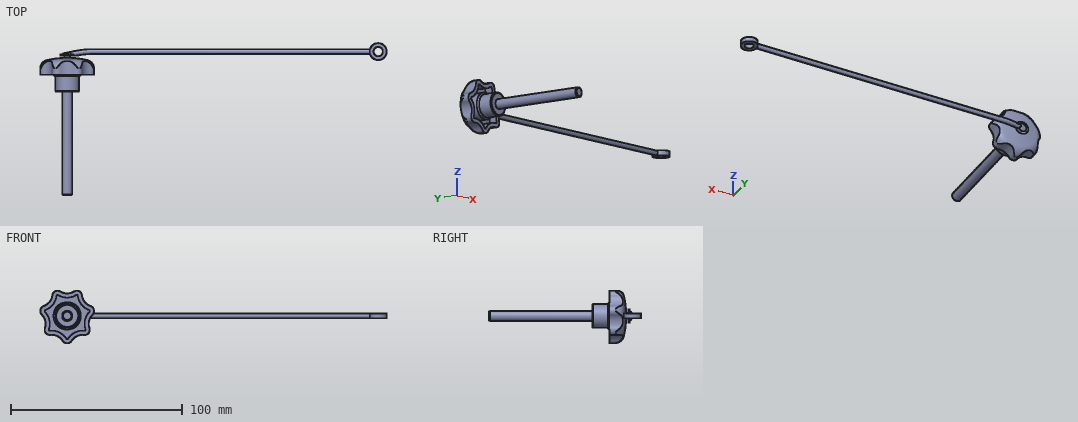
import math

import cadquery as cq

lobe_count = 7
lobe_pitch = 2 * math.pi / lobe_count
knob_radius = 16.0
lobe_tip_radius = 3.1
scallop_radius = 7.5
knob_height = 10.0
crown_radius = 50.0
crown_edge_radius = 6.0

wall_thickness = 2.5
pocket_depth = 5.0

hub_diameter = 14.0
hub_length = 10.0
hub_end_chamfer = 0.6
hub_root_diameter = 16.0
shaft_diameter = 6.0
shaft_length = 60.0
shaft_chamfer = 0.6

stem_diameter = 3.5
washer_diameter = 8.0
washer_thickness = 1.0
washer_edge_radius = 0.4
washer_gap = 1.0
washer_bottom = knob_height + washer_gap

rod_diameter = 3.0
rod_radius = rod_diameter / 2
rod_y = 13.49
bend_start_x = 14.95
bend_radius = 50.0
bend_angle = math.radians(12)
pivot_boss_diameter = 5.5
boss_edge_radius = 1.2
eye_x = 181.0
eye_diameter = 10.0
eye_hole_diameter = 5.3


def axial_cylinder(diameter, y_start, y_end):
    """Cylinder on the Y axis between two Y positions."""
    plane = cq.Workplane("XZ", origin=(0, y_start, 0))
    return plane.circle(diameter / 2).extrude(y_start - y_end)


def lobed_outline():
    """Star outline in the XZ plane: round lobe tips joined by tangent scallops, one lobe toward -Z."""
    tip_centre_radius = knob_radius - lobe_tip_radius
    half_pitch = lobe_pitch / 2
    centre_distance = lobe_tip_radius + scallop_radius
    half_chord = tip_centre_radius * math.sin(half_pitch)
    scallop_centre_radius = (tip_centre_radius * math.cos(half_pitch)
                             + math.sqrt(centre_distance ** 2 - half_chord ** 2))
    valley_radius = scallop_centre_radius - scallop_radius
    tangent_share = lobe_tip_radius / centre_distance

    def polar(radius, angle):
        return (radius * math.cos(angle), radius * math.sin(angle))

    def tangent_point(tip_angle, side):
        tip = polar(tip_centre_radius, tip_angle)
        scallop = polar(scallop_centre_radius, tip_angle + side * half_pitch)
        return tuple(t + tangent_share * (s - t) for t, s in zip(tip, scallop))

    first_tip = -math.pi / 2
    outline = cq.Workplane("XZ").moveTo(*tangent_point(first_tip, -1))
    for lobe in range(lobe_count):
        tip_angle = first_tip + lobe * lobe_pitch
        next_tip = tip_angle + lobe_pitch
        outline = outline.threePointArc(polar(knob_radius, tip_angle), tangent_point(tip_angle, 1))
        outline = outline.threePointArc(polar(valley_radius, tip_angle + half_pitch),
                                        tangent_point(next_tip, -1))
    return outline.close()


def make_dome():
    """Solid of revolution that rounds the top of the head: a shallow crown with a rounded edge."""
    crown_centre_y = knob_height - crown_radius
    edge_centre_r = knob_radius - crown_edge_radius
    edge_offset = math.sqrt((crown_radius - crown_edge_radius) ** 2 - edge_centre_r ** 2)
    edge_centre_y = crown_centre_y + edge_offset
    blend_angle = math.atan2(edge_offset, edge_centre_r)
    crown_mid_angle = (blend_angle + math.pi / 2) / 2
    edge_mid_angle = blend_angle / 2

    def crown_point(angle):
        return (crown_radius * math.cos(angle), crown_centre_y + crown_radius * math.sin(angle))

    edge_mid = (edge_centre_r + crown_edge_radius * math.cos(edge_mid_angle),
                edge_centre_y + crown_edge_radius * math.sin(edge_mid_angle))
    profile = (
        cq.Workplane("XY")
        .lineTo(0, knob_height)
        .threePointArc(crown_point(crown_mid_angle), crown_point(blend_angle))
        .threePointArc(edge_mid, (knob_radius, edge_centre_y))
        .lineTo(knob_radius, 0)
        .close()
    )
    return profile.revolve(360, (0, 0, 0), (0, 1, 0))


def make_head():
    """Lobed head under the dome, hollowed from below."""
    blank = lobed_outline().extrude(-knob_height)
    pocket = lobed_outline().offset2D(-wall_thickness).extrude(-pocket_depth)
    return blank.intersect(make_dome()).cut(pocket)


def make_hub():
    """Hub with a wider root inside the pocket, a 45 degree cone below it and a chamfered lower end."""
    root_radius = hub_root_diameter / 2
    hub_radius = hub_diameter / 2
    profile = (
        cq.Workplane("XY")
        .moveTo(0, pocket_depth)
        .lineTo(root_radius, pocket_depth)
        .lineTo(root_radius, 0)
        .lineTo(hub_radius, hub_radius - root_radius)
        .lineTo(hub_radius, -hub_length + hub_end_chamfer)
        .lineTo(hub_radius - hub_end_chamfer, -hub_length)
        .lineTo(0, -hub_length)
        .close()
    )
    return profile.revolve(360, (0, 0, 0), (0, 1, 0))


def make_shaft():
    """Shaft below the hub with a chamfered end."""
    shaft = axial_cylinder(shaft_diameter, -hub_length, -hub_length - shaft_length)
    return shaft.faces("<Y").chamfer(shaft_chamfer)


def make_pivot():
    """Stem and washer with rounded edges above the crown."""
    stem = axial_cylinder(stem_diameter, pocket_depth, washer_bottom)
    washer = axial_cylinder(washer_diameter, washer_bottom, washer_bottom + washer_thickness)
    washer = washer.edges().fillet(washer_edge_radius)
    return stem.union(washer)


def make_rod():
    """Rod along X, its near end bent down to a tilted round boss cut flush with the washer underside."""
    def bend_point(angle):
        return (bend_start_x - bend_radius * math.sin(angle),
                rod_y - bend_radius * (1 - math.cos(angle)))

    bend_end = bend_point(bend_angle)
    pivot_point = (0, bend_end[1] - bend_end[0] * math.tan(bend_angle))
    bar_end_x = eye_x - (eye_diameter + eye_hole_diameter) / 4

    bar = cq.Workplane("YZ", origin=(bend_start_x, rod_y, 0)).circle(rod_radius)
    bar = bar.extrude(bar_end_x - bend_start_x)
    bend = (
        cq.Workplane("YZ", origin=(bend_start_x, rod_y, 0))
        .circle(rod_radius)
        .revolve(math.degrees(bend_angle), (-bend_radius, 0, 0), (-bend_radius, 1, 0))
    )
    slope = (math.cos(bend_angle), math.sin(bend_angle), 0)
    slope_plane = cq.Plane(origin=(*pivot_point, 0), xDir=(0, 0, 1), normal=slope)
    straight_length = math.dist(pivot_point, bend_end)
    straight_end = cq.Workplane(slope_plane).circle(rod_radius).extrude(straight_length)

    boss_axis = (-math.sin(bend_angle), math.cos(bend_angle), 0)
    boss_plane = cq.Plane(origin=(*pivot_point, 0), xDir=(0, 0, 1), normal=boss_axis)
    boss = cq.Workplane(boss_plane).circle(pivot_boss_diameter / 2).extrude(rod_radius, both=True)
    boss = boss.edges().fillet(boss_edge_radius)

    near_end = bend.union(straight_end).union(boss)
    below_washer = axial_cylinder(2 * bend_start_x, washer_bottom, 0)
    return bar.union(near_end.cut(below_washer))


def make_eye():
    """Flat ring at the far end of the rod."""
    ring = cq.Workplane("XY", origin=(eye_x, rod_y, -rod_radius))
    return ring.circle(eye_diameter / 2).circle(eye_hole_diameter / 2).extrude(rod_diameter)


result = make_head()
for piece in (make_hub(), make_shaft(), make_pivot(), make_rod()):
    result = result.union(piece)
result = result.union(make_eye(), clean=False)